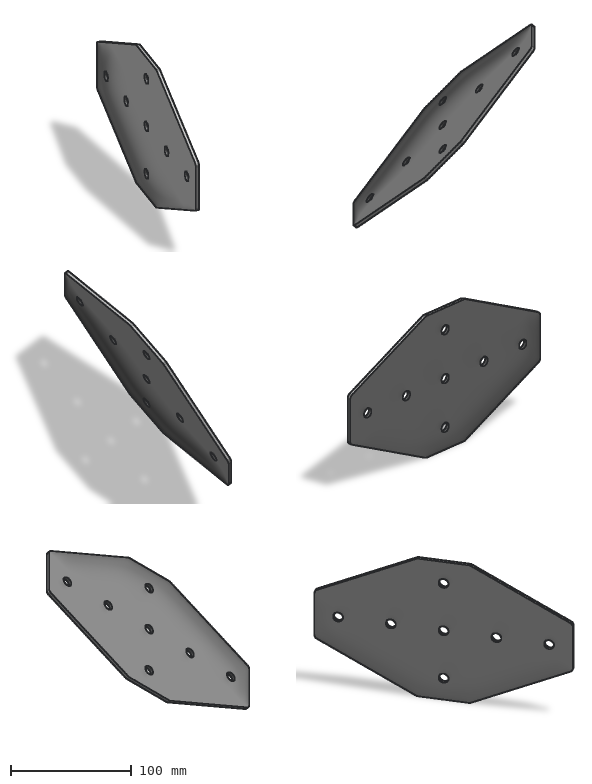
import cadquery as cq

length = 221.0
height = 131.0
thickness = 3.0
hole_pitch = 45.0
end_edge = 44.2
top_edge = hole_pitch
corner_radius = 4.0
hole_diameter = 8.5

row_holes = [(step * hole_pitch, 0) for step in (-2, -1, 0, 1, 2)]
column_holes = [(0, step * hole_pitch) for step in (-1, 1)]


def make_plate():
    """Octagonal plate centred on the origin, with all eight corners rounded."""
    outline = [
        (length / 2, end_edge / 2),
        (top_edge / 2, height / 2),
        (-top_edge / 2, height / 2),
        (-length / 2, end_edge / 2),
        (-length / 2, -end_edge / 2),
        (-top_edge / 2, -height / 2),
        (top_edge / 2, -height / 2),
        (length / 2, -end_edge / 2),
    ]
    plate = cq.Workplane("XZ").polyline(outline).close().extrude(thickness / 2, both=True)
    return plate.edges("|Y").fillet(corner_radius)


def make_holes():
    """Cylinders that pass through the full thickness."""
    positions = row_holes + column_holes
    holes = cq.Workplane("XZ").pushPoints(positions).circle(hole_diameter / 2)
    return holes.extrude(thickness, both=True)


result = make_plate().cut(make_holes())